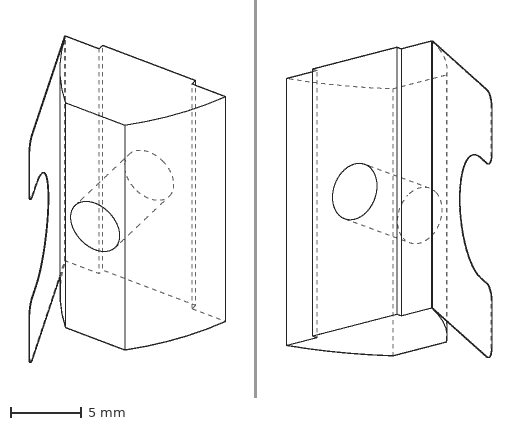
import cadquery as cq
import math

height = 20.0
block_width = 13.5
front_width = 5.0
flank_depth = 6.72
tongue_width = 7.85
tongue_rise = 0.48
hole_diameter = 4.15

leaf_lean = 21.0
leaf_length = 13.02
leaf_thickness = 0.05
leaf_corner_radius = 1.0
notch_width = 9.0
notch_depth = 6.98

half_width = block_width / 2
half_front = front_width / 2
half_tongue = tongue_width / 2
half_height = height / 2
lean = math.radians(leaf_lean)


def flank_midpoint():
    """Middle of the right flank arc, whose tangent at the back edge follows the leaf."""
    chord_x = half_width - half_front
    chord_length = math.hypot(chord_x, flank_depth)
    chord_lean = math.atan2(chord_x, flank_depth)
    bulge = chord_length / 2 * math.tan((chord_lean - lean) / 2)
    mid_x = (half_width + half_front) / 2 + bulge * math.cos(chord_lean)
    mid_y = -flank_depth / 2 - bulge * math.sin(chord_lean)
    return mid_x, mid_y


def make_block():
    """Block with its shoulders at Y = 0, centred on X and Z."""
    mid_x, mid_y = flank_midpoint()
    body = (
        cq.Workplane("XY", origin=(0, 0, -half_height))
        .moveTo(-half_front, -flank_depth)
        .lineTo(half_front, -flank_depth)
        .threePointArc((mid_x, mid_y), (half_width, 0))
        .lineTo(half_tongue, 0)
        .lineTo(half_tongue, tongue_rise)
        .lineTo(-half_tongue, tongue_rise)
        .lineTo(-half_tongue, 0)
        .lineTo(-half_width, 0)
        .threePointArc((-mid_x, mid_y), (-half_front, -flank_depth))
        .close()
        .extrude(height)
    )
    hole = (
        cq.Workplane("XZ", origin=(0, tongue_rise, 0))
        .circle(hole_diameter / 2)
        .extrude(tongue_rise + flank_depth)
    )
    return body.cut(hole)


def make_leaf():
    """Plate with a round-ended notch in its free edge, hung from the block's left back edge."""
    leaf_plane = cq.Plane(
        origin=(-half_width, 0, 0),
        xDir=(math.sin(lean), -math.cos(lean), 0),
        normal=(-math.cos(lean), -math.sin(lean), 0),
    )
    notch_radius = notch_width / 2
    notch_bottom = leaf_length - notch_depth
    notch_centre = notch_bottom + notch_radius
    plate = (
        cq.Workplane(leaf_plane)
        .moveTo(0, -half_height)
        .lineTo(leaf_length, -half_height)
        .lineTo(leaf_length, -notch_radius)
        .lineTo(notch_centre, -notch_radius)
        .threePointArc((notch_bottom, 0), (notch_centre, notch_radius))
        .lineTo(leaf_length, notch_radius)
        .lineTo(leaf_length, half_height)
        .lineTo(0, half_height)
        .close()
        .extrude(leaf_thickness)
    )
    free_end_face = cq.DirectionMinMaxSelector(leaf_plane.xDir, True)
    thickness_edges = cq.ParallelDirSelector(leaf_plane.zDir)
    free_corners = plate.faces(free_end_face).edges(thickness_edges)
    return free_corners.fillet(leaf_corner_radius)


block = make_block()
leaf = make_leaf()

result = cq.Compound.makeCompound([block.val(), leaf.solids().val()])